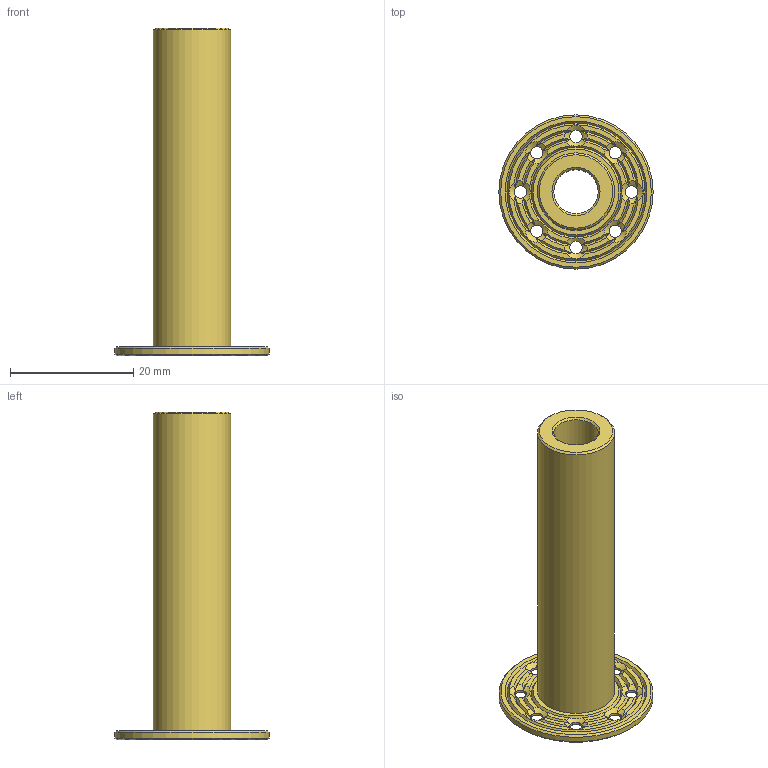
import cadquery as cq
import math

total_height = 53.12
flange_diameter = 25.0
flange_thickness = 1.5
tube_diameter = 12.5
bore_diameter = 7.2

flange_chamfer = 0.3
tube_chamfer = 0.3
bore_chamfer = 0.3

groove_count = 4
first_groove_radius = 7.26
groove_pitch = 1.31
groove_width = 0.6
groove_angle = 65.0

hole_count = 8
hole_diameter = 2.0
hole_circle_diameter = 18.0
countersink_diameter = 3.6
countersink_angle = 110.0


def make_flange():
    """Round base plate with both rims chamfered."""
    flange = cq.Workplane("XY").circle(flange_diameter / 2).extrude(flange_thickness)
    return flange.edges().chamfer(flange_chamfer)


def make_tube():
    """Central post rising from the base plane, chamfered at its top rim."""
    tube = cq.Workplane("XY").circle(tube_diameter / 2).extrude(total_height)
    return tube.faces(">Z").edges().chamfer(tube_chamfer)


def make_bore():
    """Through bore, widened to a small chamfer at the top end."""
    bore_radius = bore_diameter / 2
    mouth_radius = bore_radius + bore_chamfer
    profile = [
        (0, 0),
        (bore_radius, 0),
        (bore_radius, total_height - bore_chamfer),
        (mouth_radius, total_height),
        (0, total_height),
    ]
    return cq.Workplane("XZ").polyline(profile).close().revolve(360, (0, 0), (0, 1))


def make_groove(radius):
    """Ring of triangular section, its point down in the flange."""
    half_width = groove_width / 2
    depth = half_width / math.tan(math.radians(groove_angle / 2))
    profile = [
        (radius - half_width, flange_thickness),
        (radius, flange_thickness - depth),
        (radius + half_width, flange_thickness),
    ]
    return cq.Workplane("XZ").polyline(profile).close().revolve(360, (0, 0), (0, 1))


def make_mounting_hole():
    """Through hole on the +X axis, countersunk from both flange faces."""
    hole_radius = hole_diameter / 2
    mouth_radius = countersink_diameter / 2
    countersink_depth = (mouth_radius - hole_radius) / math.tan(math.radians(countersink_angle / 2))
    profile = [
        (0, 0),
        (mouth_radius, 0),
        (hole_radius, countersink_depth),
        (hole_radius, flange_thickness - countersink_depth),
        (mouth_radius, flange_thickness),
        (0, flange_thickness),
    ]
    hole = cq.Workplane("XZ").polyline(profile).close().revolve(360, (0, 0), (0, 1))
    return hole.translate((hole_circle_diameter / 2, 0, 0))


body = make_flange().union(make_tube()).cut(make_bore())
for index in range(groove_count):
    body = body.cut(make_groove(first_groove_radius + index * groove_pitch))

mounting_hole = make_mounting_hole()
for index in range(hole_count):
    hole_angle = index * 360 / hole_count
    body = body.cut(mounting_hole.rotate((0, 0, 0), (0, 0, 1), hole_angle))

result = body